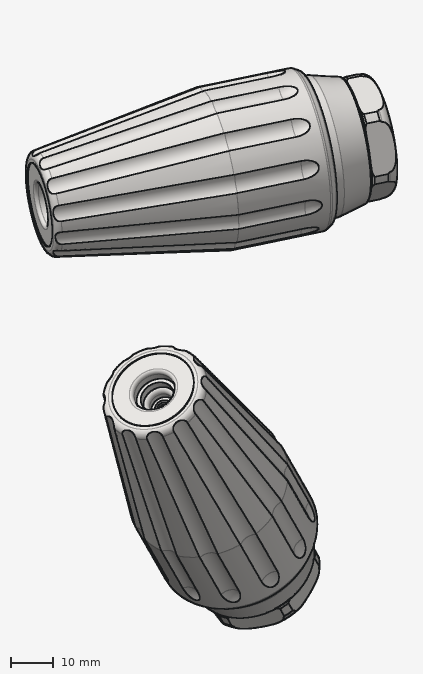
import cadquery as cq
import math

LENGTH = 83.5

HEX_FLATS = 27.1
HEX_TURNED_RADIUS = 15.0
HEX_RIM_OUTER_RADIUS = 14.9
HEX_RIM_ARC_RADIUS = 2.5
HEX_RIM_TAPER = 0.5
HEX_FRONT_CHAMFER = 0.4
HEX_START = 76.8
NECK_RADIUS = 13.1

COLLAR_REAR = 76.65
COLLAR_REAR_RADIUS = 15.1
COLLAR_RADIUS = 17.0
COLLAR_CONE_START = 69.1
COLLAR_CHAMFER = 0.5

GRIP_RADIUS = 39.0 / 2
GRIP_REAR = 67.1
GRIP_REAR_RADIUS = 18.45
GRIP_CHAMFER_LENGTH = 1.8
GRIP_REAR_FILLET = 1.0
CONE_START = 42.6
TIP_RADIUS = 12.5
TIP_FILLET = 1.8

GROOVE_COUNT = 12
GROOVE_RADIUS = 3.25
GROOVE_DEPTH = 1.0
GROOVE_TIP_DEPTH = 0.73
GROOVE_RUNOUT_START = 59.0
GROOVE_RUNOUT_RADIUS = 8.35
GROOVE_RUNOUT_ANGLE = math.radians(45)
GROOVE_OVERRUN = 4.2

RECESS_RADIUS = 10.0
RECESS_DEPTH = 0.25
MOUTH_RADIUS = 5.0
MOUTH_FILLET = 0.9
MOUTH_DEPTH = 3.25
STEP_RADIUS = 4.0
STEP_DEPTH = 5.35
THROAT_RADIUS = 5.8 / 2
THROAT_DEPTH = 7.9
NOZZLE_SEAT_RADIUS = 4.1 / 2
NOZZLE_SEAT_DEPTH = 8.35
NOZZLE_RADIUS = 3.4 / 2
NOZZLE_STEP_DEPTH = 9.2
ORIFICE_RADIUS = 2.6 / 2
ORIFICE_DEPTH = 10.0


def turned(points):
    """Revolve a closed (radius, Y) outline about the Y axis."""
    return cq.Workplane("XY").polyline(points).close().revolve(360, (0, 0, 0), (0, 1, 0))


def rod(radius, start, end):
    """Cylinder on the Y axis between two Y positions."""
    return cq.Workplane("XZ", origin=(0, start, 0)).circle(radius).extrude(start - end)


def make_hexagon():
    rim_end = LENGTH - HEX_RIM_ARC_RADIUS
    arc_centre_radius = HEX_RIM_OUTER_RADIUS - HEX_RIM_ARC_RADIUS
    arc_middle = HEX_RIM_ARC_RADIUS * math.sqrt(0.5)
    blank = (
        cq.Workplane("XY")
        .moveTo(0, HEX_START)
        .lineTo(HEX_TURNED_RADIUS - HEX_FRONT_CHAMFER, HEX_START)
        .lineTo(HEX_TURNED_RADIUS, HEX_START + HEX_FRONT_CHAMFER)
        .lineTo(HEX_TURNED_RADIUS, rim_end - HEX_RIM_TAPER)
        .lineTo(HEX_RIM_OUTER_RADIUS, rim_end)
        .threePointArc(
            (arc_centre_radius + arc_middle, rim_end + arc_middle),
            (arc_centre_radius, LENGTH),
        )
        .lineTo(0, LENGTH)
        .close()
        .revolve(360, (0, 0, 0), (0, 1, 0))
    )
    corner_diameter = HEX_FLATS / math.cos(math.pi / 6)
    prism = (
        cq.Workplane("XZ", origin=(0, HEX_START, 0))
        .polygon(6, corner_diameter)
        .extrude(HEX_START - LENGTH)
    )
    return blank.intersect(prism)


def make_collar():
    collar = turned([
        (0, GRIP_REAR),
        (COLLAR_RADIUS, GRIP_REAR),
        (COLLAR_RADIUS, COLLAR_CONE_START),
        (COLLAR_REAR_RADIUS, COLLAR_REAR),
        (0, COLLAR_REAR),
    ])
    collar = collar.faces(">Y").edges().chamfer(COLLAR_CHAMFER)
    return collar.union(rod(NECK_RADIUS, COLLAR_REAR, HEX_START))


def make_grip():
    chamfer_end = GRIP_REAR - GRIP_CHAMFER_LENGTH
    grip = turned([
        (0, 0),
        (TIP_RADIUS, 0),
        (GRIP_RADIUS, CONE_START),
        (GRIP_RADIUS, chamfer_end),
        (GRIP_REAR_RADIUS, GRIP_REAR),
        (0, GRIP_REAR),
    ])
    rear_edges = cq.selectors.BoxSelector(
        (-LENGTH, CONE_START + GRIP_REAR_FILLET, -LENGTH), (LENGTH, LENGTH, LENGTH), boundingbox=True
    )
    grip = grip.edges("%CIRCLE").edges(rear_edges).fillet(GRIP_REAR_FILLET)
    return grip.faces("<Y").edges().fillet(TIP_FILLET)


def make_groove():
    """Round cutter along the +Z side of the grip, rising out of the surface at its rear end."""
    axis_height = GRIP_RADIUS - GROOVE_DEPTH + GROOVE_RADIUS
    tip_axis_height = TIP_RADIUS - GROOVE_TIP_DEPTH + GROOVE_RADIUS
    slope = (axis_height - tip_axis_height) / CONE_START
    front = (-GROOVE_OVERRUN, tip_axis_height - slope * GROOVE_OVERRUN)

    bend_radius = GROOVE_RUNOUT_RADIUS - GROOVE_RADIUS

    def runout_point(angle):
        along = GROOVE_RUNOUT_START + bend_radius * math.sin(angle)
        height = axis_height + bend_radius * (1 - math.cos(angle))
        return (along, height)

    path = (
        cq.Workplane("YZ")
        .moveTo(*front)
        .lineTo(CONE_START, axis_height)
        .lineTo(GROOVE_RUNOUT_START, axis_height)
        .threePointArc(runout_point(GROOVE_RUNOUT_ANGLE / 2), runout_point(GROOVE_RUNOUT_ANGLE))
    )
    profile_plane = cq.Plane(origin=(0, *front), xDir=(1, 0, 0), normal=(0, 1, slope))
    return cq.Workplane(profile_plane).circle(GROOVE_RADIUS).sweep(path, transition="right")


def make_bore():
    recess = rod(RECESS_RADIUS, 0, RECESS_DEPTH)
    throat_fillet = STEP_RADIUS - THROAT_RADIUS
    diagonal = 1 - math.sqrt(0.5)
    mouth_start = RECESS_DEPTH
    outline = (
        cq.Workplane("XY")
        .moveTo(0, mouth_start)
        .lineTo(MOUTH_RADIUS + MOUTH_FILLET, mouth_start)
        .threePointArc(
            (MOUTH_RADIUS + MOUTH_FILLET * diagonal, mouth_start + MOUTH_FILLET * diagonal),
            (MOUTH_RADIUS, mouth_start + MOUTH_FILLET),
        )
        .lineTo(MOUTH_RADIUS, MOUTH_DEPTH)
        .lineTo(STEP_RADIUS, MOUTH_DEPTH)
        .lineTo(STEP_RADIUS, STEP_DEPTH)
        .threePointArc(
            (THROAT_RADIUS + throat_fillet * diagonal, STEP_DEPTH + throat_fillet * diagonal),
            (THROAT_RADIUS, STEP_DEPTH + throat_fillet),
        )
        .lineTo(THROAT_RADIUS, THROAT_DEPTH)
        .lineTo(NOZZLE_SEAT_RADIUS, THROAT_DEPTH)
        .lineTo(NOZZLE_RADIUS, NOZZLE_SEAT_DEPTH)
        .lineTo(NOZZLE_RADIUS, NOZZLE_STEP_DEPTH)
        .lineTo(ORIFICE_RADIUS, NOZZLE_STEP_DEPTH)
        .lineTo(ORIFICE_RADIUS, ORIFICE_DEPTH)
        .lineTo(0, ORIFICE_DEPTH)
        .close()
    )
    return recess.union(outline.revolve(360, (0, 0, 0), (0, 1, 0)))


grip = make_grip()
groove = make_groove()
for index in range(GROOVE_COUNT):
    angle = index * 360 / GROOVE_COUNT
    grip = grip.cut(groove.rotate((0, 0, 0), (0, 1, 0), angle))

result = grip.union(make_collar()).union(make_hexagon()).cut(make_bore())